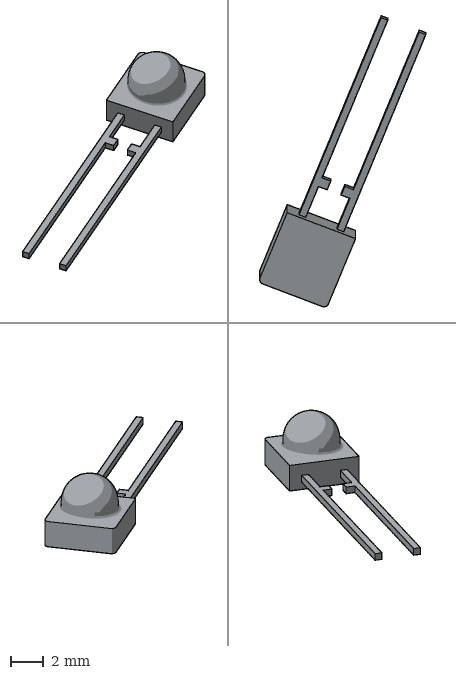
import cadquery as cq

BLOCK_WIDTH = 4.5
BLOCK_DEPTH = 4.8
BLOCK_HEIGHT = 1.7
BACK_CORNER_RADIUS = 0.3

LENS_RADIUS = 3.5 / 2
LENS_BASE_FILLET = 0.3
LENS_BAND_HEIGHT = 0.25

OVERALL_LENGTH = 18.4
LEAD_LENGTH = OVERALL_LENGTH - BLOCK_DEPTH
LEAD_THICKNESS = 0.45
LEAD_PITCH = 2.5
LEAD_BOTTOM = 0.5

TAB_REACH = 0.57
TAB_LENGTH = 0.6
TAB_SETBACK = 2.12

FRONT_FACE = -BLOCK_DEPTH / 2


def make_lens():
    """Revolve the half profile of the lens about the vertical axis."""
    fillet_top = BLOCK_HEIGHT + LENS_BASE_FILLET
    dome_base = fillet_top + LENS_BAND_HEIGHT
    foot_radius = LENS_RADIUS + LENS_BASE_FILLET
    return (
        cq.Workplane("XZ")
        .moveTo(0, BLOCK_HEIGHT)
        .lineTo(foot_radius, BLOCK_HEIGHT)
        .radiusArc((LENS_RADIUS, fillet_top), LENS_BASE_FILLET)
        .lineTo(LENS_RADIUS, dome_base)
        .radiusArc((0, dome_base + LENS_RADIUS), -LENS_RADIUS)
        .close()
        .revolve(360, (0, 0), (0, 1))
    )


def make_housing():
    """Block with rounded back corners, in one piece with its lens."""
    block = (
        cq.Workplane("XY")
        .box(BLOCK_WIDTH, BLOCK_DEPTH, BLOCK_HEIGHT, centered=(True, True, False))
        .edges("|Z and >Y")
        .fillet(BACK_CORNER_RADIUS)
    )
    return block.union(make_lens())


def make_lead(side):
    """Lead on the given side (-1 left, +1 right), its tab pointing to the middle."""
    outer_x = side * (LEAD_PITCH + LEAD_THICKNESS) / 2
    inner_x = side * (LEAD_PITCH - LEAD_THICKNESS) / 2
    tab_x = inner_x - side * TAB_REACH
    tab_back = FRONT_FACE - TAB_SETBACK
    tab_front = tab_back - TAB_LENGTH
    lead_end = FRONT_FACE - LEAD_LENGTH
    outline = [
        (outer_x, FRONT_FACE),
        (inner_x, FRONT_FACE),
        (inner_x, tab_back),
        (tab_x, tab_back),
        (tab_x, tab_front),
        (inner_x, tab_front),
        (inner_x, lead_end),
        (outer_x, lead_end),
    ]
    return (
        cq.Workplane("XY")
        .workplane(offset=LEAD_BOTTOM)
        .polyline(outline)
        .close()
        .extrude(LEAD_THICKNESS)
    )


housing = make_housing()
leads = [make_lead(side) for side in (-1, 1)]

result = cq.Compound.makeCompound([housing.val(), *[lead.val() for lead in leads]])